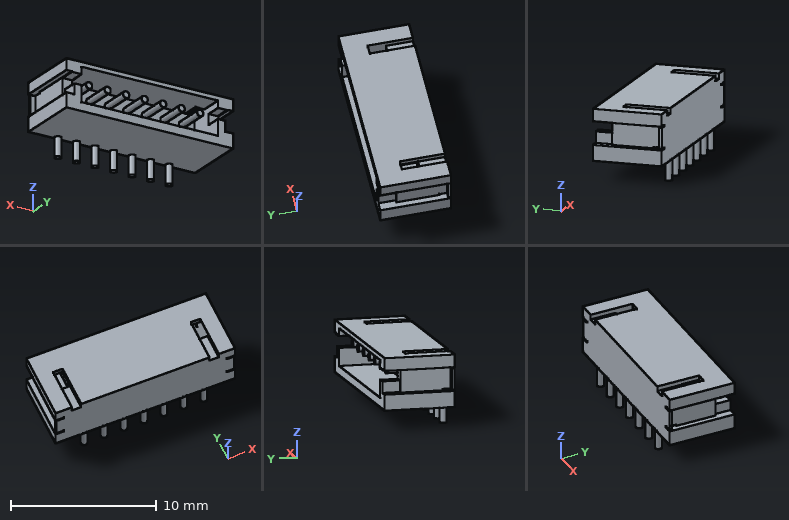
import cadquery as cq

length = 13.5
depth = 5.0
height = 3.7

roof_thickness = 0.38
floor_thickness = 0.68
front_wall = 1.92
cavity_length = 11.04

roof_slot_width = 0.7
roof_slot_length = 3.2

recess_bottom = 1.13
recess_top = 2.81
recess_depth = 0.45
flap_thickness = 0.2
flap_inset = 0.05
relief_height = 0.08
relief_depth = 0.63
relief_length = 0.74

rear_start = 3.75
rear_step_top = 1.95
rear_opening_top = 2.77

pin_count = 7
pin_pitch = 1.5
pin_diameter = 0.5
tail_length = 1.5
contact_height = 2.4
contact_end = 4.32


def block(x_range, y_range, z_range):
    """Box spanning the given (start, end) pairs."""
    spans = [end - start for start, end in (x_range, y_range, z_range)]
    corner = (x_range[0], y_range[0], z_range[0])
    return cq.Workplane("XY").box(*spans, centered=False).translate(corner)


def cut_cavity(body):
    half_cavity = cavity_length / 2
    return body.cut(block(
        (-half_cavity, half_cavity), (front_wall, depth), (floor_thickness, height - roof_thickness)
    ))


def roof_slot():
    """Slot at the -X end of the roof."""
    start = -cavity_length / 2
    return block((start, start + roof_slot_width), (0, roof_slot_length), (height - roof_thickness, height))


def end_recess():
    """Material removed from the -X end, leaving a thin flap at the front."""
    face = -length / 2
    recess_z = (recess_bottom, recess_top)
    relief_x = (face, face + relief_depth)
    main = block((face, face + recess_depth), (flap_thickness, depth), recess_z)
    flap_face = block((face, face + flap_inset), (0, flap_thickness), recess_z)
    rear_side = block(relief_x, (rear_start, depth), (recess_bottom, rear_opening_top))
    rear_window = block((face, -cavity_length / 2), (rear_start, depth), (rear_step_top, rear_opening_top))
    cutter = main.union(flap_face).union(rear_side).union(rear_window)
    for bottom in (recess_bottom, recess_top - relief_height):
        cutter = cutter.union(block(relief_x, (0, relief_length), (bottom, bottom + relief_height)))
    return cutter


def contact_pin(x):
    """Vertical solder tail joined to a horizontal contact inside the housing."""
    radius = pin_diameter / 2
    tail = (
        cq.Workplane("XY", origin=(x, radius, -tail_length))
        .circle(radius)
        .extrude(tail_length + contact_height)
    )
    contact = (
        cq.Workplane("XZ", origin=(x, radius, contact_height))
        .circle(radius)
        .extrude(radius - contact_end)
    )
    return tail.union(contact)


housing = cut_cavity(block((-length / 2, length / 2), (0, depth), (0, height)))
for cutter in (roof_slot(), end_recess()):
    housing = housing.cut(cutter).cut(cutter.mirror("YZ"))

result = housing
for index in range(pin_count):
    pin_x = (index - (pin_count - 1) / 2) * pin_pitch
    result = result.union(contact_pin(pin_x))